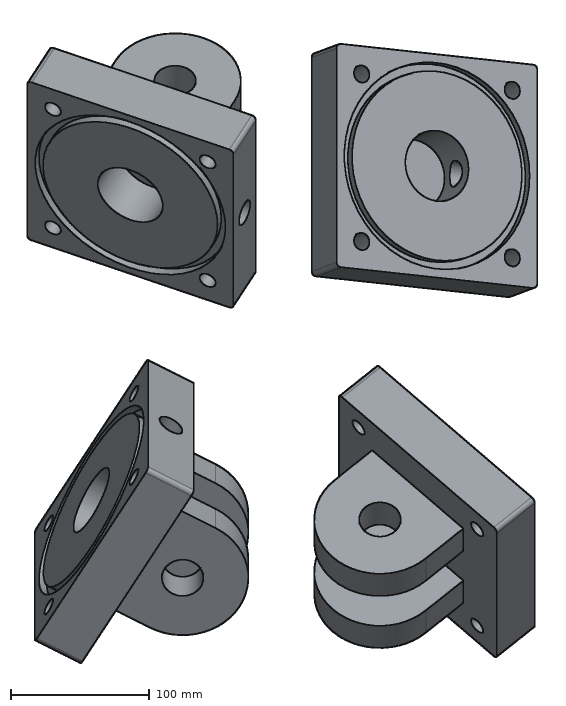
import cadquery as cq

plate_side = 165.1
plate_thickness = 38.1
corner_radius = 3.5

total_depth = 123.8
lug_width = 95.3
lug_radius = lug_width / 2
lug_gap = 38.1
lug_thickness = (lug_width - lug_gap) / 2
pin_diameter = 30.0
pin_y = total_depth - lug_radius

bolt_diameter = 12.7
bolt_pitch = 123.8
groove_outer_diameter = 152.4
groove_inner_diameter = 139.7
groove_depth = 6.5
bore_diameter = 52.0
bore_depth = 36.8

port_diameter = 19.0
port_y = plate_thickness / 2


def front_plane():
    """Workplane on the front face, with its normal pointing into the plate."""
    return cq.Workplane(cq.Plane(origin=(0, 0, 0), xDir=(1, 0, 0), normal=(0, 1, 0)))


def make_plate():
    plate = front_plane().rect(plate_side, plate_side).extrude(plate_thickness)
    return plate.edges("|Y").fillet(corner_radius)


def make_lug(bottom_z):
    """Round-ended lug with a vertical pin hole."""
    lug = (
        cq.Workplane("XY", origin=(0, 0, bottom_z))
        .moveTo(-lug_radius, plate_thickness)
        .lineTo(lug_radius, plate_thickness)
        .lineTo(lug_radius, pin_y)
        .threePointArc((0, total_depth), (-lug_radius, pin_y))
        .close()
        .extrude(lug_thickness)
    )
    pin_hole = (
        cq.Workplane("XY", origin=(0, pin_y, bottom_z)).circle(pin_diameter / 2).extrude(lug_thickness)
    )
    return lug.cut(pin_hole)


def make_bolt_holes():
    return (
        front_plane()
        .rect(bolt_pitch, bolt_pitch, forConstruction=True)
        .vertices()
        .circle(bolt_diameter / 2)
        .extrude(plate_thickness)
    )


def make_groove():
    return (
        front_plane()
        .circle(groove_outer_diameter / 2)
        .circle(groove_inner_diameter / 2)
        .extrude(groove_depth)
    )


def make_bore():
    return front_plane().circle(bore_diameter / 2).extrude(bore_depth)


def make_port():
    return (
        cq.Workplane("YZ").center(port_y, 0).circle(port_diameter / 2).extrude(plate_side / 2)
    )


result = make_plate()
for lug_bottom in (lug_gap / 2, -lug_gap / 2 - lug_thickness):
    result = result.union(make_lug(lug_bottom))
for cutter in (make_bolt_holes(), make_groove(), make_bore(), make_port()):
    result = result.cut(cutter)